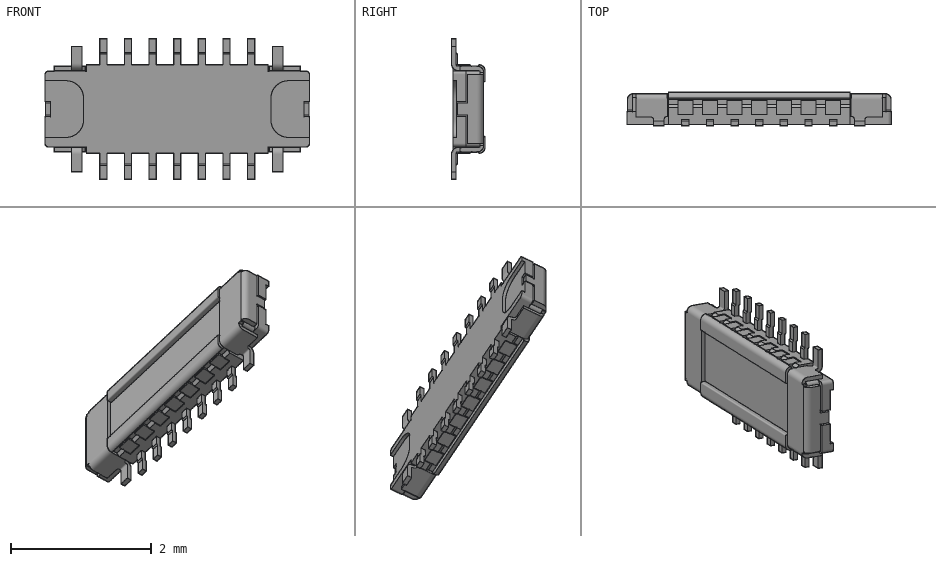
import cadquery as cq


rail_top = 0.48
plate_top = 0.46
core_top = 0.405
floor_level = 0.02

base_half_length = 1.88
base_half_width = 0.54
base_top = 0.205
core_half_length = 1.80
corner_radius = 0.05

block_half_length = 1.29
block_half_width = 0.63
groove_depth = 0.045
groove_slope_start = 0.262
groove_floor_start = 0.306
groove_floor_end = 0.373
groove_end = 0.394
rail_inner = 0.386
rail_outer_radius = rail_top - groove_end
rail_inner_radius = 0.02

contact_count = 7
contact_pitch = 0.35
window_width = 0.215
window_bottom = 0.165
window_top = 0.362
window_recess = 0.015
lead_width = 0.105
lead_thickness = 0.068
lead_reach = 1.0
lead_step_start = 0.78
lead_step_end = 0.80

pocket_inner_x = 1.33
pocket_half_width = 0.403
pocket_radius = 0.25
pocket_depth = 0.05
notch_half_width = 0.106

cap_half_length = 1.875
cap_half_width = 0.493
cap_bottom = 0.228
cap_radius = 0.09
tab_half_width = 0.085
tab_bottom = 0.09
bridge_half_width = 0.517

wall_inner_x = 1.306
wall_outer_x = 1.75
wall_inner_z = 0.547
wall_outer_z = 0.608
wall_bottom = 0.125
wall_bend_radius = 0.09
anchor_inner_x = 1.352
anchor_outer_x = 1.503
anchor_fillet = 0.034
inner_fillet = anchor_inner_x - wall_inner_x
anchor_reach = 0.892
anchor_bend_radius = 0.096
anchor_inner_radius = 0.022


def box(x_range, y_range, z_range):
    """Box spanning the given ranges."""
    (x0, x1), (y0, y1), (z0, z1) = x_range, y_range, z_range
    return cq.Workplane("XY").box(x1 - x0, y1 - y0, z1 - z0, centered=False).translate((x0, y0, z0))


def centred_box(half_length, y_range, half_width):
    """Box centred on the Y axis."""
    return box((-half_length, half_length), y_range, (-half_width, half_width))


def extrude_along_x(section, half_length):
    """Centred extrusion of a (z, y) section drawn on section_plane."""
    return section.close().extrude(half_length, both=True)


def section_plane():
    """Cross-section plane with local x along +Z and local y along +Y."""
    return cq.Workplane(cq.Plane(origin=(0, 0, 0), xDir=(0, 0, 1), normal=(-1, 0, 0)))


def mirror_z(shape):
    return shape.union(shape.mirror("XY"))


def mirror_x(shape):
    return shape.union(shape.mirror("YZ"))


def housing():
    """Rounded base with a shorter core standing on it."""
    base = centred_box(base_half_length, (floor_level, base_top), base_half_width)
    core = centred_box(core_half_length, (floor_level, core_top), base_half_width)
    return base.edges("|Y").fillet(corner_radius).union(core.edges("|Y").fillet(corner_radius))


def side_rail():
    """Long side of the centre block: base, groove and rounded rail."""
    face = block_half_width
    groove = face - groove_depth
    section = (
        section_plane()
        .moveTo(rail_inner, floor_level)
        .lineTo(face, floor_level)
        .lineTo(face, groove_slope_start)
        .lineTo(groove, groove_floor_start)
        .lineTo(groove, groove_floor_end)
        .lineTo(face, groove_end)
        .radiusArc((face - rail_outer_radius, rail_top), -rail_outer_radius)
        .lineTo(rail_inner + rail_inner_radius, rail_top)
        .radiusArc((rail_inner, rail_top - rail_inner_radius), -rail_inner_radius)
    )
    return extrude_along_x(section, block_half_length)


def contact_positions():
    first = -contact_pitch * (contact_count - 1) / 2
    return [first + i * contact_pitch for i in range(contact_count)]


def add_windows(rail):
    """Flat contact faces, slightly behind the block face and bridging the groove."""
    face = block_half_width - window_recess
    for x in contact_positions():
        x_range = (x - window_width / 2, x + window_width / 2)
        y_range = (window_bottom, window_top)
        rail = rail.cut(box(x_range, y_range, (face, block_half_width)))
        rail = rail.union(box(x_range, y_range, (rail_inner, face)))
    return rail


def contact_lead(x):
    """Solder lead, flush with the underside and stepping down to the soldering plane."""
    section = section_plane().polyline([
        (rail_inner, floor_level),
        (lead_step_start, floor_level),
        (lead_step_end, 0),
        (lead_reach, 0),
        (lead_reach, lead_thickness),
        (lead_step_end, lead_thickness),
        (lead_step_start, floor_level + lead_thickness),
        (rail_inner, floor_level + lead_thickness),
    ])
    return extrude_along_x(section, lead_width / 2).translate((x, 0, 0))


def contact_side():
    side = add_windows(side_rail())
    for x in contact_positions():
        side = side.union(contact_lead(x))
    return side


def end_pocket():
    """D-shaped underside pocket, open through the +X end."""
    pocket_end = 2 * base_half_length - pocket_inner_x
    pocket = box(
        (pocket_inner_x, pocket_end),
        (floor_level, floor_level + pocket_depth),
        (-pocket_half_width, pocket_half_width),
    )
    return pocket.edges("|Y").edges("<X").fillet(pocket_radius)


def end_notch():
    """Notch through the +X end wall of the base."""
    return box(
        (core_half_length, base_half_length),
        (floor_level, base_top),
        (-notch_half_width, notch_half_width),
    )


def end_cap():
    """Metal cap bent over the +X end, with a tab reaching into the notch."""
    cap = box((wall_inner_x, cap_half_length), (cap_bottom, plate_top), (-cap_half_width, cap_half_width))
    cap = cap.edges("|Z").edges(">X and >Y").fillet(cap_radius)
    bridge = box(
        (wall_inner_x, core_half_length),
        (core_top, plate_top),
        (-bridge_half_width, bridge_half_width),
    )
    tab = box(
        (core_half_length, cap_half_length),
        (tab_bottom, cap_bottom),
        (-tab_half_width, tab_half_width),
    )
    return cap.union(bridge).union(tab)


def anchor_wall():
    """Metal side wall bent down from the top plate and out into an anchor lead."""
    anchor_top = wall_bottom - anchor_fillet
    top_inner_radius = wall_bend_radius - (wall_outer_z - wall_inner_z)
    section = (
        section_plane()
        .moveTo(cap_half_width, plate_top)
        .lineTo(wall_outer_z - wall_bend_radius, plate_top)
        .radiusArc((wall_outer_z, plate_top - wall_bend_radius), wall_bend_radius)
        .lineTo(wall_outer_z, lead_thickness + anchor_inner_radius)
        .radiusArc((wall_outer_z + anchor_inner_radius, lead_thickness), -anchor_inner_radius)
        .lineTo(anchor_reach, lead_thickness)
        .lineTo(anchor_reach, 0)
        .lineTo(wall_inner_z + anchor_bend_radius, 0)
        .radiusArc((wall_inner_z, anchor_bend_radius), anchor_bend_radius)
        .lineTo(wall_inner_z, core_top - top_inner_radius)
        .radiusArc((wall_inner_z - top_inner_radius, core_top), -top_inner_radius)
        .lineTo(cap_half_width, core_top)
    )
    outline = (
        cq.Workplane("XY")
        .moveTo(wall_inner_x, plate_top)
        .lineTo(wall_outer_x, plate_top)
        .lineTo(wall_outer_x, wall_bottom)
        .lineTo(anchor_outer_x + anchor_fillet, wall_bottom)
        .radiusArc((anchor_outer_x, anchor_top), -anchor_fillet)
        .lineTo(anchor_outer_x, 0)
        .lineTo(anchor_inner_x, 0)
        .lineTo(anchor_inner_x, anchor_top)
        .radiusArc((wall_inner_x, anchor_top + inner_fillet), -inner_fillet)
        .close()
        .extrude(anchor_reach)
    )
    return extrude_along_x(section, base_half_length).intersect(outline)


def metal_end():
    return end_cap().union(mirror_z(anchor_wall()))


body = housing().cut(mirror_x(end_pocket())).cut(mirror_x(end_notch()))
result = body.union(mirror_z(contact_side())).union(mirror_x(metal_end()))